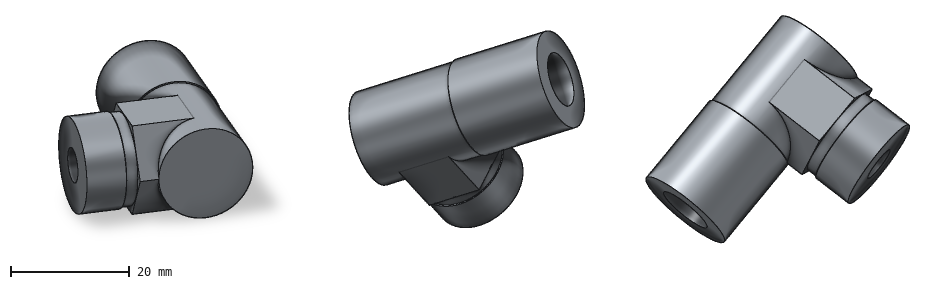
import cadquery as cq


total_length = 36.0
collar_length = 17.0
collar_diameter = 17.0
barrel_diameter = 16.5

hex_corner_width = 18.97
hex_reach = 11.52
groove_width = 2.0
groove_diameter = 16.1
spigot_diameter = 16.65
branch_reach = 20.52
branch_x = (collar_length + total_length) / 2

bore_diameter = 6.0
socket_diameter = 9.35
socket_depth = collar_length


def rod_along_x(diameter, start, end):
    """Round bar on the body axis between two X positions."""
    return cq.Workplane("YZ").workplane(offset=start).circle(diameter / 2).extrude(end - start)


def branch_section(start):
    """Workplane on the branch axis, facing -Y, at a distance from the body axis."""
    return cq.Workplane("XZ").workplane(offset=start).center(branch_x, 0)


def make_body():
    collar = rod_along_x(collar_diameter, 0, collar_length)
    barrel = rod_along_x(barrel_diameter, collar_length, total_length)
    return collar.union(barrel)


def make_branch():
    groove_end = hex_reach + groove_width
    hexagon = branch_section(0).polygon(6, hex_corner_width).extrude(hex_reach)
    neck = branch_section(hex_reach).circle(groove_diameter / 2).extrude(groove_width)
    spigot = branch_section(groove_end).circle(spigot_diameter / 2).extrude(branch_reach - groove_end)
    return hexagon.union(neck).union(spigot)


def make_passage():
    """Mitred elbow bore with a wider socket at the collar end."""
    path = cq.Workplane("XY").polyline([(0, 0), (branch_x, 0), (branch_x, -branch_reach)])
    bore = cq.Workplane("YZ").circle(bore_diameter / 2).sweep(path, transition="right")
    socket = rod_along_x(socket_diameter, 0, socket_depth)
    return bore.union(socket)


result = make_body().union(make_branch()).cut(make_passage())